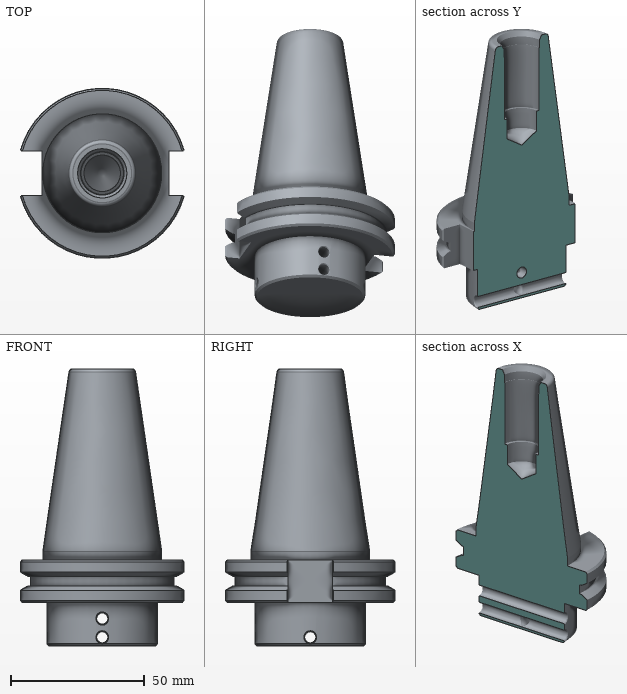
import cadquery as cq
import math


gauge_radius = 44.45 / 2
taper_length = 68.25
taper_slope = 7 / 24 / 2
tip_radius = gauge_radius - taper_length * taper_slope
tip_round = 1.5

flange_radius = 63.5 / 2
flange_gap = 3.18
flange_top = -flange_gap
flange_width = 15.88
flange_bottom = flange_top - flange_width
flange_middle = (flange_top + flange_bottom) / 2
flange_chamfer = 0.75
groove_mouth_width = 6.85
groove_wall_end_radius = 28.9
groove_floor_radius = 56.25 / 2
groove_wall_angle = math.radians(30)
groove_wall_height = (flange_radius - groove_wall_end_radius) * math.tan(groove_wall_angle)
groove_floor_width = groove_mouth_width - 2 * groove_wall_height

slot_width = 16.5
slot_floor_offsets = {1: 25.0, -1: 22.6}
slot_corner_chamfer = 0.5

total_height = 103.56
tail_radius = 41.4 / 2
tail_bottom = taper_length - total_height
tail_chamfer = 0.8

center_radius = 9.2
center_half_angle = math.radians(30)
pilot_radius = 16.26 / 2
pilot_depth = 5.0
thread_radius = 15.875 / 2
thread_depth = 30.0
drill_radius = 6.8
drill_depth = 38.0
drill_half_angle = math.radians(59)
center_depth = (center_radius - pilot_radius) / math.tan(center_half_angle)
drill_tip_depth = drill_depth + drill_radius / math.tan(drill_half_angle)

screw_hole_radius = 4.2 / 2
screw_mouth_radius = 4.9 / 2
lower_hole_edge_distance = 3.2
screw_hole_spacing = 7.0
lower_hole_height = tail_bottom + lower_hole_edge_distance
upper_hole_height = lower_hole_height + screw_hole_spacing


def make_blank():
    """Solid of revolution: taper, flange with its groove, and tail."""
    half_mouth = groove_mouth_width / 2
    half_floor = groove_floor_width / 2
    outline = [
        (0, taper_length),
        (tip_radius, taper_length),
        (gauge_radius, 0),
        (gauge_radius, flange_top),
        (flange_radius - flange_chamfer, flange_top),
        (flange_radius, flange_top - flange_chamfer),
        (flange_radius, flange_middle + half_mouth),
        (groove_wall_end_radius, flange_middle + half_floor),
        (groove_floor_radius, flange_middle + half_floor),
        (groove_floor_radius, flange_middle - half_floor),
        (groove_wall_end_radius, flange_middle - half_floor),
        (flange_radius, flange_middle - half_mouth),
        (flange_radius, flange_bottom + flange_chamfer),
        (flange_radius - flange_chamfer, flange_bottom),
        (tail_radius, flange_bottom),
        (tail_radius, tail_bottom + tail_chamfer),
        (tail_radius - tail_chamfer, tail_bottom),
        (0, tail_bottom),
    ]
    blank = cq.Workplane("XZ").polyline(outline).close().revolve(360, (0, 0, 0), (0, 1, 0))
    return blank.faces(">Z").edges().fillet(tip_round)


def make_bore():
    """Stepped bore: center countersink, pilot, thread and drill point."""
    outline = [
        (0, 0),
        (center_radius, 0),
        (pilot_radius, -center_depth),
        (pilot_radius, -pilot_depth),
        (thread_radius, -pilot_depth),
        (thread_radius, -thread_depth),
        (drill_radius, -thread_depth),
        (drill_radius, -drill_depth),
        (0, -drill_tip_depth),
    ]
    bore = cq.Workplane("XZ").polyline(outline).close().revolve(360, (0, 0, 0), (0, 1, 0))
    return bore.translate((0, 0, taper_length))


def make_slot(side):
    """Drive slot on the side +1 or -1 of X, widening at the flange rim."""
    half_width = slot_width / 2
    mouth_half_width = half_width + slot_corner_chamfer
    rim_x = math.sqrt(flange_radius**2 - mouth_half_width**2)
    outer_x = 2 * flange_radius
    half_outline = [
        (slot_floor_offsets[side], half_width),
        (rim_x - slot_corner_chamfer, half_width),
        (rim_x, mouth_half_width),
        (outer_x, mouth_half_width),
    ]
    mirrored = [(x, -y) for x, y in reversed(half_outline)]
    outline = [(side * x, y) for x, y in half_outline + mirrored]
    slot = cq.Workplane("XY").workplane(offset=flange_bottom)
    return slot.polyline(outline).close().extrude(flange_width)


def make_screw_hole(height, turn):
    """Hole through the tail along X, countersunk at both ends, turned about Z."""
    mouth_depth = screw_mouth_radius - screw_hole_radius
    outline = [
        (-tail_radius, 0),
        (-tail_radius, screw_mouth_radius),
        (-tail_radius + mouth_depth, screw_hole_radius),
        (tail_radius - mouth_depth, screw_hole_radius),
        (tail_radius, screw_mouth_radius),
        (tail_radius, 0),
    ]
    hole = cq.Workplane("XZ").polyline(outline).close().revolve(360, (0, 0, 0), (1, 0, 0))
    return hole.rotate((0, 0, 0), (0, 0, 1), turn).translate((0, 0, height))


holder = make_blank().cut(make_bore())
for side in slot_floor_offsets:
    holder = holder.cut(make_slot(side))
for height, turn in ((lower_hole_height, 0), (lower_hole_height, 90), (upper_hole_height, 90)):
    holder = holder.cut(make_screw_hole(height, turn))

result = cq.Compound.makeCompound([holder.val()])